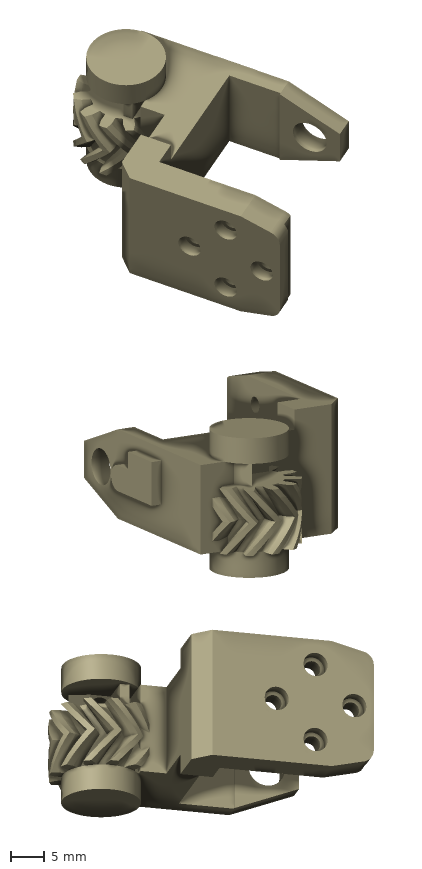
import cadquery as cq
import math


BLOCK_HALF_HEIGHT = 6.9
PLATE_HALF_HEIGHT = 10.0
BACK_Y = 9.65
BLOCK_LEFT_X = -2.15
BLOCK_STEP_X = 4.82
BLOCK_FRONT_Y = -4.87
WEB_LEFT_X = 8.82
WEB_RIGHT_X = 13.82
WEB_STEP_Y = -13.0

ARM_INNER_Y = 6.85
ARM_TIP_INNER_Y = 6.6
ARM_TAPER_X = 22.32
ARM_TIP_X = 32.32
ARM_TIP_HALF_HEIGHT = 2.87
PIVOT_X = 27.32
PIVOT_DIAMETER = 5.6

PLATE_THICKNESS = 5.0
PLATE_FRONT_Y = -22.0
PLATE_INNER_Y = PLATE_FRONT_Y + PLATE_THICKNESS
PLATE_END_X = 36.32
PLATE_TAPER_X = 29.82
PLATE_END_HALF_HEIGHT = 8.4
PLATE_CORNER_RADIUS = 2.0
PLATE_CHAMFER = 2.55
RECESS_DEPTH_X = 0.65
RECESS_DEPTH_Y = 2.15
SCREW_CIRCLE_RADIUS = 6.0
SCREW_HOLE_DIAMETER = 2.5
SCREW_HEAD_DIAMETER = 3.7
SCREW_HEAD_DEPTH = 2.0

TOOTH_COUNT = 12
TIP_RADIUS = 7.9
FLANK_RADIUS = 6.8
ROOT_RADIUS = 5.4
TIP_HALF_WIDTH = 0.6
FLANK_HALF_WIDTH = 0.88
ROOT_HALF_WIDTH = 0.85
GEAR_BOTTOM_Z = -6.8
GEAR_TOP_Z = 3.2
GEAR_HALF_WIDTH = (GEAR_TOP_Z - GEAR_BOTTOM_Z) / 2
TWIST_ANGLE = 34.0
DISC_DIAMETER = 11.92
TOP_DISC_Z = 10.85
BOTTOM_DISC_Z = -10.7

HUB_LEFT_X = -4.5
HUB_LEFT_Y = 2.14
HUB_SHOULDER_Y = 3.85
SLOT_LEFT_X = -1.4
SLOT_RIGHT_X = 1.75
SLOT_FLOOR_Y = 1.1
FINGER_RIGHT_X = 3.26
FINGER_FRONT_Y = -4.42
SET_SCREW_DIAMETER = 3.1
SET_SCREW_X = (SLOT_LEFT_X + SLOT_RIGHT_X) / 2
SET_SCREW_Z = (GEAR_TOP_Z + BLOCK_HALF_HEIGHT) / 2
SET_SCREW_DEPTH = 3.0

PAD_THICKNESS = 1.75
PAD_LEFT_X = 9.35
PAD_STEP_X = 16.35
PAD_END_X = 21.35
PAD_BOTTOM_Z = -1.75
PAD_TOP_Z = 5.0
PAD_END_RADIUS = 2.0


def prism(points, z_bottom, z_top):
    """Extrude an XY outline between two heights."""
    return cq.Workplane("XY").workplane(offset=z_bottom).polyline(points).close().extrude(z_top - z_bottom)


def box_from(low, high):
    """Box between two opposite corners."""
    sizes = [top - bottom for bottom, top in zip(low, high)]
    return cq.Workplane("XY").box(*sizes, centered=False).translate(low)


def disc(z_bottom, z_top):
    """Plain round disc on the gear axis."""
    return cq.Workplane("XY").workplane(offset=z_bottom).circle(DISC_DIAMETER / 2).extrude(z_top - z_bottom)


def facing_front(y, x=0, z=0):
    """Workplane at depth y whose positive extrusion runs toward +Y."""
    return cq.Workplane(cq.Plane(origin=(x, y, z), xDir=(-1, 0, 0), normal=(0, 1, 0)))


def tapered_profile(y, x_start, x_taper, x_end, half_height, end_half_height, thickness):
    """Plate parallel to XZ whose far end narrows symmetrically."""
    points = [
        (x_start, -half_height),
        (x_taper, -half_height),
        (x_end, -end_half_height),
        (x_end, end_half_height),
        (x_taper, half_height),
        (x_start, half_height),
    ]
    return cq.Workplane("XZ", origin=(0, y, 0)).polyline(points).close().extrude(-thickness)


def make_block():
    """Block and web, with the slotted hub above the gear and its set screw hole."""
    body_edge = [
        (BLOCK_STEP_X, BLOCK_FRONT_Y),
        (WEB_LEFT_X, BLOCK_FRONT_Y),
        (WEB_LEFT_X, WEB_STEP_Y),
        (WEB_RIGHT_X, WEB_STEP_Y),
        (WEB_RIGHT_X, BACK_Y),
        (BLOCK_LEFT_X, BACK_Y),
    ]
    gear_edge = [(BLOCK_LEFT_X, 0), (BLOCK_STEP_X, 0)]
    hub_edge = [
        (BLOCK_LEFT_X, HUB_SHOULDER_Y),
        (HUB_LEFT_X, HUB_LEFT_Y),
        (SLOT_LEFT_X, SLOT_FLOOR_Y),
        (SLOT_RIGHT_X, SLOT_FLOOR_Y),
        (SLOT_RIGHT_X, FINGER_FRONT_Y),
        (FINGER_RIGHT_X, FINGER_FRONT_Y),
        (FINGER_RIGHT_X, SLOT_FLOOR_Y),
        (BLOCK_STEP_X, SLOT_FLOOR_Y),
    ]
    lower = prism(body_edge + gear_edge, -BLOCK_HALF_HEIGHT, GEAR_TOP_Z)
    upper = prism(body_edge + hub_edge, GEAR_TOP_Z, BLOCK_HALF_HEIGHT)
    set_screw = (
        facing_front(SLOT_FLOOR_Y, SET_SCREW_X, SET_SCREW_Z)
        .circle(SET_SCREW_DIAMETER / 2)
        .extrude(SET_SCREW_DEPTH)
    )
    rounded_end = cq.Workplane("XY").sphere(SET_SCREW_DIAMETER / 2).translate(
        (SET_SCREW_X, SLOT_FLOOR_Y + SET_SCREW_DEPTH, SET_SCREW_Z)
    )
    return lower.union(upper.cut(set_screw.union(rounded_end)))


def make_rear_arm():
    """Arm with a pivot hole, thinned between the web and its tapered tip."""
    thickness = BACK_Y - ARM_TIP_INNER_Y
    arm = tapered_profile(
        ARM_TIP_INNER_Y, WEB_RIGHT_X, ARM_TAPER_X, ARM_TIP_X,
        BLOCK_HALF_HEIGHT, ARM_TIP_HALF_HEIGHT, thickness,
    )
    relief = box_from(
        (WEB_RIGHT_X, ARM_TIP_INNER_Y, -BLOCK_HALF_HEIGHT),
        (ARM_TAPER_X, ARM_INNER_Y, BLOCK_HALF_HEIGHT),
    )
    pivot = facing_front(ARM_TIP_INNER_Y, PIVOT_X).circle(PIVOT_DIAMETER / 2).extrude(thickness)
    return arm.cut(relief).cut(pivot)


def make_front_plate():
    """Tall corner of the web and the plate that carries the screw holes."""
    plate = tapered_profile(
        PLATE_FRONT_Y, WEB_LEFT_X, PLATE_TAPER_X, PLATE_END_X,
        PLATE_HALF_HEIGHT, PLATE_END_HALF_HEIGHT, PLATE_THICKNESS,
    )
    plate = plate.edges("|Y and >X").fillet(PLATE_CORNER_RADIUS)
    recess = box_from(
        (PLATE_END_X - RECESS_DEPTH_X, PLATE_INNER_Y - RECESS_DEPTH_Y, -PLATE_HALF_HEIGHT),
        (PLATE_END_X, PLATE_INNER_Y, PLATE_HALF_HEIGHT),
    )
    corner = box_from(
        (WEB_LEFT_X, PLATE_FRONT_Y, -PLATE_HALF_HEIGHT),
        (WEB_RIGHT_X, WEB_STEP_Y, PLATE_HALF_HEIGHT),
    )
    plate = plate.cut(recess).union(corner)
    plate = plate.edges("|Z and <X and <Y").chamfer(PLATE_CHAMFER)
    return plate.cut(make_screw_holes())


def make_screw_holes():
    """Four counterbored holes on a circle around the pivot axis."""
    centres = [
        (SCREW_CIRCLE_RADIUS * math.cos(angle), SCREW_CIRCLE_RADIUS * math.sin(angle))
        for angle in (0, math.pi / 2, math.pi, 3 * math.pi / 2)
    ]
    start = facing_front(PLATE_FRONT_Y, PIVOT_X).pushPoints(centres)
    shanks = start.circle(SCREW_HOLE_DIAMETER / 2).extrude(PLATE_THICKNESS)
    heads = start.circle(SCREW_HEAD_DIAMETER / 2).extrude(SCREW_HEAD_DEPTH)
    return shanks.union(heads)


def make_pad():
    """Raised pad on the rear face with a lower, round-ended tail."""
    pad_back_y = BACK_Y + PAD_THICKNESS
    end_centre_x = PAD_END_X - PAD_END_RADIUS
    end_centre_z = PAD_BOTTOM_Z + PAD_END_RADIUS
    main = box_from((PAD_LEFT_X, BACK_Y, PAD_BOTTOM_Z), (PAD_STEP_X, pad_back_y, PAD_TOP_Z))
    tail = box_from(
        (PAD_STEP_X, BACK_Y, PAD_BOTTOM_Z),
        (end_centre_x, pad_back_y, end_centre_z + PAD_END_RADIUS),
    )
    round_end = facing_front(BACK_Y, end_centre_x, end_centre_z).circle(PAD_END_RADIUS).extrude(PAD_THICKNESS)
    return main.union(tail).union(round_end)


def tooth_point(radius, half_width, angle):
    """Point at a radius from the gear axis and a sideways offset from a tooth centreline."""
    along = math.sqrt(radius**2 - half_width**2)
    return (
        along * math.cos(angle) - half_width * math.sin(angle),
        along * math.sin(angle) + half_width * math.cos(angle),
    )


def gear_outline():
    """Closed gear section whose teeth are widest partway up the flank."""
    sections = [
        (ROOT_RADIUS, ROOT_HALF_WIDTH),
        (FLANK_RADIUS, FLANK_HALF_WIDTH),
        (TIP_RADIUS, TIP_HALF_WIDTH),
    ]
    outline = cq.Workplane("XY").moveTo(*tooth_point(ROOT_RADIUS, -ROOT_HALF_WIDTH, 0))
    for tooth in range(TOOTH_COUNT):
        angle = 2 * math.pi * tooth / TOOTH_COUNT
        if tooth > 0:
            outline = outline.lineTo(*tooth_point(ROOT_RADIUS, -ROOT_HALF_WIDTH, angle))
        for radius, half_width in sections[1:]:
            outline = outline.lineTo(*tooth_point(radius, -half_width, angle))
        outline = outline.threePointArc(
            tooth_point(TIP_RADIUS, 0, angle), tooth_point(TIP_RADIUS, TIP_HALF_WIDTH, angle)
        )
        for radius, half_width in reversed(sections[:-1]):
            outline = outline.lineTo(*tooth_point(radius, half_width, angle))
    return outline.close()


def make_gear():
    """Herringbone gear: two mirrored helical halves meeting at mid-width."""
    lower = gear_outline().twistExtrude(GEAR_HALF_WIDTH, TWIST_ANGLE)
    upper = lower.mirror("XY", (0, 0, GEAR_HALF_WIDTH))
    return lower.union(upper).translate((0, 0, GEAR_BOTTOM_Z))


result = (
    make_block()
    .union(make_rear_arm())
    .union(make_front_plate())
    .union(make_pad())
    .union(disc(BLOCK_HALF_HEIGHT, TOP_DISC_Z))
    .union(disc(BOTTOM_DISC_Z, GEAR_BOTTOM_Z))
    .union(make_gear())
)